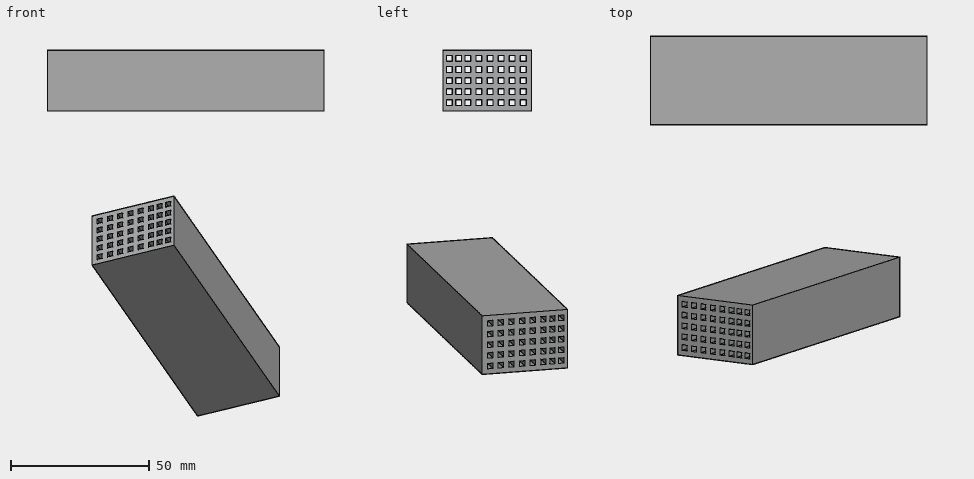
import cadquery as cq

LENGTH = 100.0
WIDTH = 32.0
HEIGHT = 22.0

CHANNEL_SIZE = 2.0
CHANNEL_PITCH = 4.0
SIDE_WALL = 2.0
ROW_COUNT = 5
WIDE_COLUMN_COUNT = 6

NARROW_COLUMN_COUNT = 2
THIN_SIDE_WALL = 1.3


def column_positions():
    """Y centres of the channel columns, starting from the -Y side."""
    first = -WIDTH / 2 + SIDE_WALL + CHANNEL_SIZE / 2
    wide = [first + i * CHANNEL_PITCH for i in range(WIDE_COLUMN_COUNT)]

    last = WIDTH / 2 - THIN_SIDE_WALL - CHANNEL_SIZE / 2
    narrow_pitch = (last - wide[-1]) / NARROW_COLUMN_COUNT
    narrow = [wide[-1] + (i + 1) * narrow_pitch for i in range(NARROW_COLUMN_COUNT)]
    return wide + narrow


def row_positions():
    """Z centres of the channel rows, spread evenly about mid-height."""
    first = -(ROW_COUNT - 1) * CHANNEL_PITCH / 2
    return [first + i * CHANNEL_PITCH for i in range(ROW_COUNT)]


block = cq.Workplane("XY").box(LENGTH, WIDTH, HEIGHT)

channels = (
    cq.Workplane("YZ", origin=(-LENGTH / 2, 0, 0))
    .pushPoints([(y, z) for y in column_positions() for z in row_positions()])
    .rect(CHANNEL_SIZE, CHANNEL_SIZE)
    .extrude(LENGTH)
)

result = block.cut(channels)